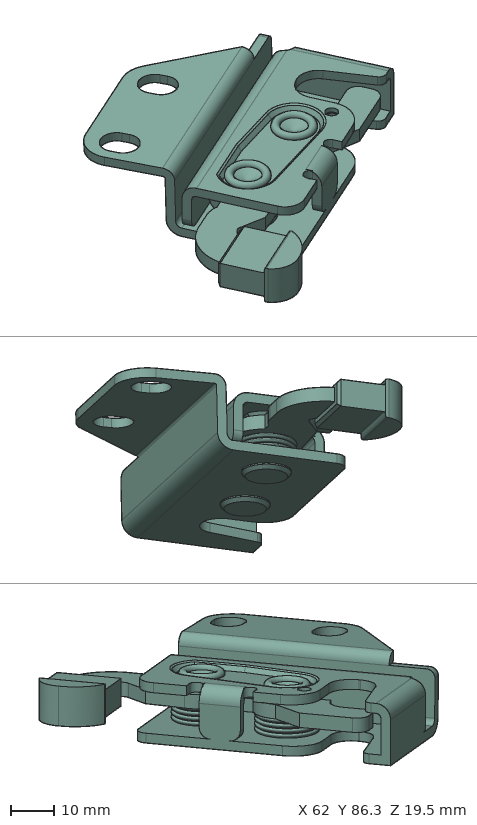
import cadquery as cq
import math


SHEET = 2.38
PLATE_RIGHT = 55.43
PLATE_DEPTH = 63.44
COVER_TOP = 14.67
COVER_UNDER = COVER_TOP - SHEET
DIAGONAL = math.sqrt(0.5)
EPS = 1.0
TALL = 30.0

WALL_FOOT_X = 22.93
WALL_TILT = math.radians(1.3)
FLANGE_TILT = math.radians(2.0)
FLANGE_TOP_Z = 18.41
WALL_TOP_Z = 15.5
WALL_CORNER_R = 2.1
FLANGE_BACK_Y = 52.1
FLANGE_SLOPE_X = 21.9
FLANGE_LEFT_BACK_Y = 35.36
FLANGE_CORNER_R = 7.5
FOOT_BEND_R = 3.92
HEAD_BEND_R = 2.9
HEAD_INNER_R = 0.5
BASE_CORNER_R = 3.0
SLOT_LENGTH = 9.6
SLOT_WIDTH = 7.65
SLOT_X = 8.84
SLOT_YS = (6.6, 31.6)

LEG_X = 26.82
COVER_BEND_R = 3.6
COVER_CORNER_R = 4.9
LEG_CORNER_R = 2.6
SKIRT_CORNER_R = 1.0
NOTCH_RIGHT_X = 31.5
NOTCH_FRONT_Y = 58.97
NOTCH_R = 2.2
TAB_BEND_R = 3.92
TAB_FRONT_Y = 16.15
TAB_BACK_Y = 26.3
RELIEF_WIDTH = 3.17
RELIEF_X = 51.5
PIN_HOLE_X = 48.9
PIN_HOLE_Y = 39.8
PIN_HOLE_D = 3.17
PIN_HOLE_INNER_D = 2.34

MOUTH_X = 42.1
MOUTH_Y = 48.9
MOUTH_R = 5.45
BASE_MOUTH_INSET = 0.5
MOUTH_EDGE_X = 53.5
MOUTH_EDGE_Y = 56.65
MOUTH_TILT = math.radians(9.5)
MOUTH_TIP_R = 1.9
MOUTH_LIP_R = 7.2

PAWL_PIVOT = (42.12, 33.1)
LEVER_PIVOT = (39.05, 10.85)
PAN_R = 7.4
PAN_LEFT_X = 32.8
PAN_DEPTH = 1.5
PAN_RIM_DEPTH = 0.35
PAN_RIM_DRAFT = 60.0
PAN_RIM_INSET = 0.3
PAN_DRAFT = 35.0
PAN_FLOOR = COVER_TOP - PAN_DEPTH
SHAFT_R = 12.7 / 2
HEAD_R = 5.45
HEAD_TOP = COVER_TOP - 0.25
HEAD_SEAT_R = 4.4
HEAD_DISH_R = 3.3
HEAD_DISH_DEPTH = 1.3
FOOT_R = 5.85
FOOT_HEIGHT = 1.25
FOOT_BEVEL = 0.9
WIRE_D = 1.02
CORE_DEPTH = 0.75 * WIRE_D
PAWL_SPRING_R = 7.6
LEVER_SPRING_R = 7.1
SPRING_TURNS = 4

LINK_BOTTOM = 7.2
LINK_TOP = 10.66
PAWL_HUB_R = 8.0
FINGER_LEFT_X = 47.1
FINGER_BACK_Y = 57.0
FINGER_FRONT_Y = 40.9
FINGER_CORNER_R = 3.0
FINGER_HOOK_R = 5.0
LEVER_HUB_R = 9.05
LEVER_LEFT_X = 34.4
NECK_LEFT_X = 35.5
NECK_RIGHT_X = 47.5
ARM_STRAIGHT_BACK_Y = -3.9
ARM_STRAIGHT_FRONT_Y = -8.1
NECK_MID = (34.75, -1.7)
ELBOW_MID = (37.2, -16.6)
ARM_FRONT_Y = -20.7
CROOK_BACK = (43.6, -5.6)
CROOK_MID = (43.15, -7.0)
CROOK_FRONT = (43.9, -8.2)

GRIP_LEFT_X = 44.2
GRIP_FRONT_Y = -22.87
GRIP_BACK_Y = -6.8
GRIP_BOTTOM = 5.4
GRIP_TOP = 12.05
CAP_LEFT_X = 55.95
CAP_ROUND_X = 56.8
CAP_RIGHT_X = 61.96
CAP_CREST_Y = -16.2
CAP_FRONT_MID = (60.4, -20.7)
CAP_BACK_MID = (60.75, -11.0)
CAP_BOTTOM = 4.0
CAP_TOP = 13.6
GRIP_CHAMFER = 0.7
BLOCK_INSET = 0.12
CAP_EDGE_R = 0.5
CAP_ROOT_R = 0.5


def box(x0, x1, y0, y1, z0, z1):
    return cq.Workplane("XY").box(x1 - x0, y1 - y0, z1 - z0, centered=False).translate((x0, y0, z0))


def prism(points, z0, z1):
    return cq.Workplane("XY").workplane(offset=z0).polyline(points).close().extrude(z1 - z0)


def cylinder(center, radius, z0, z1):
    return cq.Workplane("XY").workplane(offset=z0).center(*center).circle(radius).extrude(z1 - z0)


def round_edge(body, axis, point, radius):
    """Fillet the one edge parallel to the axis whose centre is nearest to the point."""
    return body.edges("|" + axis).edges(cq.NearestToPointSelector(point)).fillet(radius)


def mouth_tool(inset):
    """Striker mouth: round seat, straight lower edge and sloped upper edge, open at the right."""
    radius = MOUTH_R - inset
    far_x = PLATE_RIGHT + EPS
    run = far_x - MOUTH_EDGE_X
    normal = (-math.sin(MOUTH_TILT), math.cos(MOUTH_TILT))
    edge_y_at_seat = MOUTH_EDGE_Y - inset - (MOUTH_EDGE_X - MOUTH_X) * math.tan(MOUTH_TILT)
    upper_y = edge_y_at_seat - radius / math.cos(MOUTH_TILT)
    tangent = (MOUTH_X + radius * normal[0], upper_y + radius * normal[1])
    return (
        cq.Workplane("XY").workplane(offset=-EPS)
        .moveTo(MOUTH_X, MOUTH_Y - radius)
        .lineTo(far_x, MOUTH_Y - radius)
        .lineTo(far_x, MOUTH_EDGE_Y - inset + run * math.tan(MOUTH_TILT))
        .lineTo(*tangent)
        .threePointArc((MOUTH_X - radius * DIAGONAL, upper_y + radius * DIAGONAL),
                       (MOUTH_X - radius, upper_y))
        .lineTo(MOUTH_X - radius, MOUTH_Y)
        .threePointArc((MOUTH_X - radius * DIAGONAL, MOUTH_Y - radius * DIAGONAL),
                       (MOUTH_X, MOUTH_Y - radius))
        .close().extrude(TALL)
    )


def cut_mouth(plate, inset, z_mid):
    plate = plate.cut(mouth_tool(inset))
    tip_y = MOUTH_EDGE_Y - inset + (PLATE_RIGHT - MOUTH_EDGE_X) * math.tan(MOUTH_TILT)
    plate = round_edge(plate, "Z", (PLATE_RIGHT, tip_y, z_mid), MOUTH_TIP_R)
    return round_edge(plate, "Z", (PLATE_RIGHT, MOUTH_Y - MOUTH_R + inset, z_mid), MOUTH_LIP_R)


def make_base():
    """Base plate, leaning wall and mounting flange folded from one sheet."""
    wall_slope = math.tan(WALL_TILT)
    flange_slope = math.tan(FLANGE_TILT)
    wall_width = SHEET / math.cos(WALL_TILT)
    flange_height = SHEET / math.cos(FLANGE_TILT)

    def wall_outer_x(z):
        return WALL_FOOT_X - z * wall_slope

    def flange_top_z(x):
        return FLANGE_TOP_Z - (WALL_FOOT_X + SHEET - x) * flange_slope

    head_outer_x = wall_outer_x(FLANGE_TOP_Z) + wall_width
    head_outer = (head_outer_x, flange_top_z(head_outer_x))
    head_inner_x = wall_outer_x(FLANGE_TOP_Z - SHEET)
    head_inner = (head_inner_x, flange_top_z(head_inner_x) - flange_height)
    foot_inner = (wall_outer_x(SHEET) + wall_width, SHEET)
    end_lean = SHEET * math.sin(FLANGE_TILT)
    profile = [
        (PLATE_RIGHT, 0), (WALL_FOOT_X, 0), head_inner,
        (end_lean, flange_top_z(end_lean) - flange_height), (0, flange_top_z(0)),
        head_outer, foot_inner, (PLATE_RIGHT, SHEET),
    ]
    body = cq.Workplane("XZ").polyline(profile).close().extrude(-PLATE_DEPTH)
    bends = (
        ((WALL_FOOT_X, 0), FOOT_BEND_R),
        (foot_inner, FOOT_BEND_R - SHEET),
        (head_outer, HEAD_BEND_R),
        (head_inner, HEAD_INNER_R),
    )
    for (x, z), radius in bends:
        body = round_edge(body, "Y", (x, PLATE_DEPTH / 2, z), radius)

    wall_clear_x = head_outer_x + EPS
    back = [
        (-EPS, FLANGE_LEFT_BACK_Y), (0, FLANGE_LEFT_BACK_Y), (FLANGE_SLOPE_X, FLANGE_BACK_Y),
        (wall_clear_x, FLANGE_BACK_Y), (wall_clear_x, PLATE_DEPTH + EPS), (-EPS, PLATE_DEPTH + EPS),
    ]
    body = body.cut(prism(back, WALL_TOP_Z, TALL))
    flange_tail = [
        (-EPS, FLANGE_LEFT_BACK_Y), (0, FLANGE_LEFT_BACK_Y), (FLANGE_SLOPE_X, FLANGE_BACK_Y),
        (FLANGE_SLOPE_X, PLATE_DEPTH + EPS), (-EPS, PLATE_DEPTH + EPS),
    ]
    body = body.cut(prism(flange_tail, SHEET, TALL))
    end_mid_z = flange_top_z(0) - SHEET / 2
    for y in (0, FLANGE_LEFT_BACK_Y):
        corner = cq.NearestToPointSelector((end_lean / 2, y, end_mid_z))
        body = body.edges(corner).fillet(FLANGE_CORNER_R)
    slots = (cq.Workplane("XY").pushPoints([(SLOT_X, y) for y in SLOT_YS])
             .slot2D(SLOT_LENGTH, SLOT_WIDTH).extrude(TALL))
    body = body.cut(slots)

    wall_mid_x = wall_outer_x(WALL_TOP_Z) + SHEET / 2
    body = round_edge(body, "X", (wall_mid_x, PLATE_DEPTH, WALL_TOP_Z), WALL_CORNER_R)
    body = round_edge(body, "Z", (PLATE_RIGHT, 0, SHEET / 2), BASE_CORNER_R)
    return cut_mouth(body, BASE_MOUTH_INSET, SHEET / 2)


def pan_outline(z, inset):
    """Hull of a circle around each pivot, cut off straight at the left."""
    (ux, uy), (lx, ly) = PAWL_PIVOT, LEVER_PIVOT
    radius = PAN_R - inset
    left_x = PAN_LEFT_X + inset
    lean = math.atan2(ux - lx, uy - ly)
    side = (radius * math.cos(lean), -radius * math.sin(lean))
    up = (radius * math.sin(lean), radius * math.cos(lean))
    left_tangent = (ux - side[0], uy - side[1])
    cut_top_y = left_tangent[1] - (left_tangent[0] - left_x) / math.tan(lean)
    cut_low_y = ly - math.sqrt(radius ** 2 - (lx - left_x) ** 2)
    return (
        cq.Workplane("XY").workplane(offset=z)
        .moveTo(*left_tangent)
        .threePointArc((ux + up[0], uy + up[1]), (ux + side[0], uy + side[1]))
        .lineTo(lx + side[0], ly + side[1])
        .threePointArc((lx, ly - radius), (left_x, cut_low_y))
        .lineTo(left_x, cut_top_y)
        .close()
    )


def cut_tab_opening(plate):
    """Clear the plate's right edge for the tab and the round-ended relief on each side of it."""
    z0 = COVER_UNDER - EPS
    end_r = RELIEF_WIDTH / 2
    plate = plate.cut(box(RELIEF_X, PLATE_RIGHT + EPS, TAB_FRONT_Y, TAB_BACK_Y, z0, TALL))
    for y in (TAB_FRONT_Y - end_r, TAB_BACK_Y + end_r):
        plate = plate.cut(box(RELIEF_X + end_r, PLATE_RIGHT + EPS, y - end_r, y + end_r, z0, TALL))
        plate = plate.cut(cylinder((RELIEF_X + end_r, y), end_r, z0, TALL))
    return plate


def make_tab():
    """Tab bent down from the right edge to rest on the base plate."""
    tab = box(RELIEF_X, PLATE_RIGHT, TAB_FRONT_Y, TAB_BACK_Y, SHEET, COVER_TOP)
    tab = tab.edges(">X and >Z").fillet(TAB_BEND_R)
    hollow = box(RELIEF_X - EPS, PLATE_RIGHT - SHEET, TAB_FRONT_Y - EPS, TAB_BACK_Y + EPS, 0, COVER_UNDER)
    tab = tab.cut(hollow.edges(">X and >Z").fillet(TAB_BEND_R - SHEET))
    return tab.edges("|X and <Z").fillet(LEG_CORNER_R)


def make_cover():
    """Cover plate with a left leg, a back skirt, a right tab and a sunken pan."""
    body = box(LEG_X, PLATE_RIGHT, 0, PLATE_DEPTH, SHEET, COVER_TOP)
    body = body.edges(">Z and (<X or >Y)").fillet(COVER_BEND_R)
    hollow = box(LEG_X + SHEET, PLATE_RIGHT + EPS, -EPS, PLATE_DEPTH - SHEET, 0, COVER_UNDER)
    hollow = hollow.edges(">Z and (<X or >Y)").fillet(COVER_BEND_R - SHEET)
    body = body.cut(hollow)

    notch = box(LEG_X - EPS, NOTCH_RIGHT_X, NOTCH_FRONT_Y, PLATE_DEPTH + EPS, 0, TALL)
    body = body.cut(round_edge(notch, "Z", (NOTCH_RIGHT_X, NOTCH_FRONT_Y, TALL / 2), NOTCH_R))
    skirt_corner = (NOTCH_RIGHT_X, PLATE_DEPTH - SHEET / 2, SHEET)
    body = round_edge(body, "Y", skirt_corner, SKIRT_CORNER_R)
    body = round_edge(body, "X", (LEG_X + SHEET / 2, 0, SHEET), LEG_CORNER_R)
    body = round_edge(body, "Z", (PLATE_RIGHT, 0, COVER_TOP - SHEET / 2), COVER_CORNER_R)
    body = cut_mouth(body, 0, COVER_TOP - SHEET / 2)

    body = cut_tab_opening(body).union(make_tab())
    body = body.union(pan_outline(COVER_UNDER, 0).extrude(-PAN_DEPTH, taper=PAN_DRAFT))
    body = body.cut(pan_outline(COVER_TOP, PAN_RIM_INSET).extrude(-PAN_DEPTH, taper=PAN_DRAFT))
    body = body.cut(pan_outline(COVER_TOP, 0).extrude(-PAN_RIM_DEPTH, taper=PAN_RIM_DRAFT))
    for pivot in (PAWL_PIVOT, LEVER_PIVOT):
        body = body.cut(cylinder(pivot, HEAD_SEAT_R, SHEET, TALL))

    pin_hole = (PIN_HOLE_X, PIN_HOLE_Y)
    body = body.cut(cylinder(pin_hole, PIN_HOLE_D / 2, COVER_TOP - SHEET / 2, TALL))
    return body.cut(cylinder(pin_hole, PIN_HOLE_INNER_D / 2, LINK_TOP, TALL))


def make_rivet(pivot, spring_r):
    """Shaft with a bevelled foot, a rounded dished head and a stacked coil spring."""
    core_r = spring_r - CORE_DEPTH
    rim_r = (HEAD_R - HEAD_DISH_R) / 2
    rim_z = HEAD_TOP - rim_r
    profile = (
        cq.Workplane("XZ")
        .moveTo(0, -FOOT_HEIGHT)
        .lineTo(FOOT_R - FOOT_BEVEL, -FOOT_HEIGHT)
        .lineTo(FOOT_R, FOOT_BEVEL - FOOT_HEIGHT)
        .lineTo(FOOT_R, SHEET / 2)
        .lineTo(core_r, SHEET / 2)
        .lineTo(core_r, LINK_BOTTOM)
        .lineTo(SHAFT_R, LINK_BOTTOM)
        .lineTo(SHAFT_R, PAN_FLOOR - SHEET / 2)
        .lineTo(HEAD_R, PAN_FLOOR - SHEET / 2)
        .lineTo(HEAD_R, rim_z)
        .threePointArc((HEAD_R - rim_r, HEAD_TOP), (HEAD_DISH_R, rim_z))
        .lineTo(0, rim_z - HEAD_DISH_DEPTH)
        .close()
    )
    rivet = profile.revolve(360, (0, 0, 0), (0, 1, 0))
    wire_pitch = (LINK_BOTTOM - SHEET) / SPRING_TURNS
    for turn in range(SPRING_TURNS):
        z = SHEET + (turn + 0.5) * wire_pitch
        ring = cq.Workplane(cq.Solid.makeTorus(spring_r - WIRE_D / 2, WIRE_D / 2)).translate((0, 0, z))
        rivet = rivet.union(ring)
    return rivet.translate((*pivot, 0))


def make_pawl():
    """Hub on the upper pivot with a finger that closes the mouth."""
    hub = cylinder(PAWL_PIVOT, PAWL_HUB_R, LINK_BOTTOM, LINK_TOP)
    hook_y = MOUTH_Y - MOUTH_R + BASE_MOUTH_INSET
    finger = (
        cq.Workplane("XY").workplane(offset=LINK_BOTTOM)
        .moveTo(PAWL_PIVOT[0], PAWL_PIVOT[1])
        .lineTo(MOUTH_X, hook_y)
        .threePointArc((MOUTH_X + FINGER_HOOK_R * DIAGONAL,
                        hook_y + FINGER_HOOK_R * (1 - DIAGONAL)),
                       (FINGER_LEFT_X, hook_y + FINGER_HOOK_R))
        .lineTo(FINGER_LEFT_X, FINGER_BACK_Y)
        .lineTo(PLATE_RIGHT, FINGER_BACK_Y)
        .lineTo(PLATE_RIGHT, FINGER_FRONT_Y)
        .lineTo(PAWL_PIVOT[0] + PAWL_HUB_R, PAWL_PIVOT[1])
        .close().extrude(LINK_TOP - LINK_BOTTOM)
    )
    finger = finger.edges("|Z and >Y").fillet(FINGER_CORNER_R)
    return hub.union(finger)


def make_lever():
    """Hub on the lower pivot with an arm that curves round into the grip."""
    hub = cylinder(LEVER_PIVOT, LEVER_HUB_R, LINK_BOTTOM, LINK_TOP)
    arm = (
        cq.Workplane("XY").workplane(offset=LINK_BOTTOM)
        .moveTo(LEVER_PIVOT[0] + LEVER_HUB_R, LEVER_PIVOT[1])
        .lineTo(NECK_RIGHT_X, 0)
        .lineTo(*CROOK_BACK)
        .threePointArc(CROOK_MID, CROOK_FRONT)
        .lineTo(GRIP_LEFT_X + EPS, CROOK_FRONT[1])
        .lineTo(GRIP_LEFT_X + EPS, ARM_FRONT_Y)
        .threePointArc(ELBOW_MID, (LEVER_LEFT_X, ARM_STRAIGHT_FRONT_Y))
        .lineTo(LEVER_LEFT_X, ARM_STRAIGHT_BACK_Y)
        .threePointArc(NECK_MID, (NECK_LEFT_X, 0))
        .lineTo(NECK_LEFT_X, LEVER_PIVOT[1])
        .close().extrude(LINK_TOP - LINK_BOTTOM)
    )
    return hub.union(arm)


def make_grip():
    """Block over the lever's end with a taller rounded cap."""
    block = box(GRIP_LEFT_X, CAP_LEFT_X, GRIP_FRONT_Y + BLOCK_INSET, GRIP_BACK_Y - BLOCK_INSET,
                GRIP_BOTTOM, GRIP_TOP)
    block = block.edges("<X").chamfer(GRIP_CHAMFER)
    cap = (
        cq.Workplane("XY").workplane(offset=CAP_BOTTOM)
        .moveTo(CAP_LEFT_X, GRIP_FRONT_Y)
        .lineTo(CAP_ROUND_X, GRIP_FRONT_Y)
        .threePointArc(CAP_FRONT_MID, (CAP_RIGHT_X, CAP_CREST_Y))
        .threePointArc(CAP_BACK_MID, (CAP_ROUND_X, GRIP_BACK_Y))
        .lineTo(CAP_LEFT_X, GRIP_BACK_Y)
        .close().extrude(CAP_TOP - CAP_BOTTOM)
    )
    cap = cap.faces("<X").edges("|Y").fillet(CAP_EDGE_R)
    grip = block.union(cap)
    for z in (GRIP_BOTTOM, GRIP_TOP):
        root = (CAP_LEFT_X, (GRIP_FRONT_Y + GRIP_BACK_Y) / 2, z)
        grip = round_edge(grip, "Y", root, CAP_ROOT_R)
    return grip


result = make_base()
pieces = (
    make_cover(),
    make_rivet(PAWL_PIVOT, PAWL_SPRING_R),
    make_rivet(LEVER_PIVOT, LEVER_SPRING_R),
    make_pawl(),
    make_lever(),
    make_grip(),
)
for piece in pieces:
    result = result.union(piece)